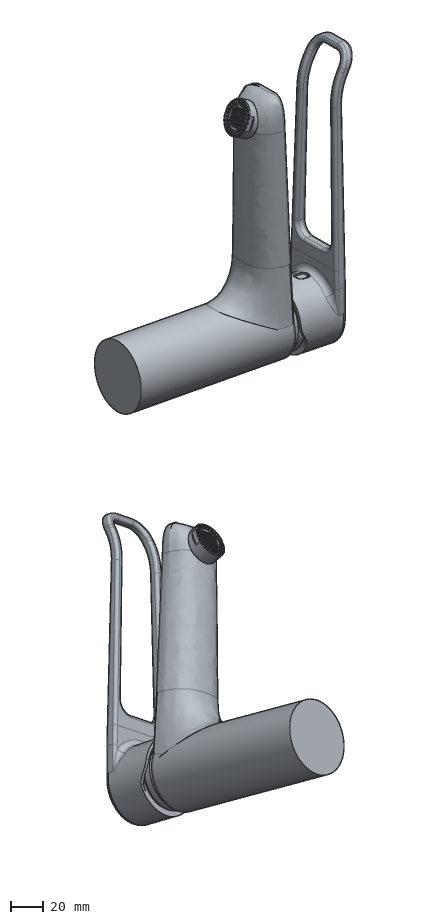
import cadquery as cq
import math


TUBE_RADIUS = 24.2
TUBE_RISE = 2.0
BACK_LEAN = 1.6
BACK_FOOT_Y = 120.7
BACK_ROUND = 2.0

SPOUT_FRONT_Y = 95.5
SPOUT_TOP_Z = 188.5
SPOUT_FULLNESS = 2.5
BOW_STEP = 15
DOME_FOOT_Z = 166.8
DOME_FOOT_HALF_WIDTH = 18.8
DOME_TOP_HALF_WIDTH = 7.3
DOME_CORNER_POWER = 3.0
DOME_CROWN_DEPTH = 0.6
DOME_STEPS = 5
FLARE_RADIUS = 25.0
FLARE_STEPS = 4
FLARE_INSET = 0.2
FLARE_HALF_WIDTH = 21.3

NECK_RADIUS = 21.7
NECK_AXIS_Z = 28.8
NECK_JOINT_Y = 123.0
NECK_END_Y = 129.5
NECK_CHAMFER_LENGTH = 1.0
NECK_CHAMFER_DEPTH = 1.9

CAP_BACK_Y = 158.5
CAP_START_Y = 156.0
CAP_BACK_RADIUS = 24.4
CAP_FRONT_DIAMETER = 49.8
CAP_BORE_RADIUS = 22.7
CAP_RELIEF_TOP_Z = 33.4
CAP_RELIEF_BOTTOM_Z = 15.5
CAP_BLEND = 4.2

BLADE_BASE_RADIUS = 24.2
BLADE_SHOULDER_Z = 50.0
BAR_TAPER_FOOT_Z = 62.5
HANDLE_TOP_Z = 208.5
HANDLE_CLEAR_Y = 179.3
HANDLE_TOP_HALF_WIDTH = 19.0
HANDLE_TOP_CORNER = 13.0
BAR_WIDTH = 5.5
BAR_ROUND = 2.0
WINDOW_BOTTOM_Z = 72.5
WINDOW_BOTTOM_CORNER = 8.3

BEND_FOOT_Z = 171.8
BEND_RADIUS = 41.7
BEND_ANGLE = 28.5
BAR_DEPTH_TOP = 6.5
BAR_DEPTH_FOOT = 8.1

BUTTON_Y = 141.8
BUTTON_WIDTH = 5.8
BUTTON_LENGTH = 7.0
BUTTON_CORNER = 2.0
BUTTON_GAP = 1.3
BUTTON_POCKET_FLOOR_Z = 50.5
BUTTON_TOP_Z = 52.5

AERATOR_TILT = 23.0
AERATOR_FACE_Y = 91.3
AERATOR_FACE_Z = 175.3
AERATOR_RADIUS = 12.0
AERATOR_LENGTH = 12.5
AERATOR_BORE_RADIUS = 10.8
AERATOR_BORE_DEPTH = 4.2
AERATOR_FLAT_X = 11.0
AERATOR_FLAT_LENGTH = 4.0
AERATOR_EDGE_CHAMFER = 0.6

INSERT_TOOTH_COUNT = 24
INSERT_TOOTH_GAP = 1.0
INSERT_RIM_RADIUS = 9.0
INSERT_NOTCH_DEPTH = 1.3
MESH_RADIUS = 8.1
MESH_PITCH = 1.9
MESH_OPENING = 1.0
MESH_RECESS = 0.6

OVERSHOOT = 4.2
TOLERANCE = 0.01
PLATE_FACE_MIN_Y = 0.6


def back_y(z):
    """Y of the leaning back face of the spout at height z."""
    return BACK_FOOT_Y - z * math.tan(math.radians(BACK_LEAN))


def tube_axis_z(y):
    return TUBE_RADIUS + y * math.tan(math.radians(TUBE_RISE))


def arch_wire(back, front, half_width, fullness):
    """D-shaped section across X between two (y, z) points: rounded back corners, bowed front.

    A fullness of 2 bows the front as a half ellipse; more makes it squarer.
    """
    depth = math.hypot(front[0] - back[0], front[1] - back[1])
    forward = ((front[0] - back[0]) / depth, (front[1] - back[1]) / depth)
    plane = cq.Plane(origin=(0, *back), xDir=(1, 0, 0), normal=(0, -forward[1], forward[0]))

    def corner_round(side):
        near_back = BACK_ROUND * (1 - math.sqrt(0.5))
        points = [
            (side * (half_width - BACK_ROUND), 0),
            (side * (half_width - near_back), near_back),
            (side * half_width, BACK_ROUND),
        ]
        return cq.Edge.makeThreePointArc(*[plane.toWorldCoords(point) for point in points])

    left_round = corner_round(-1)
    right_round = corner_round(1)
    bow_depth = depth - BACK_ROUND
    bow_points = []
    for degrees in range(0, 181, BOW_STEP):
        across = math.cos(math.radians(degrees))
        along = max(math.sin(math.radians(degrees)), 0)
        bow_points.append(plane.toWorldCoords((
            half_width * math.copysign(abs(across) ** (2 / fullness), across),
            BACK_ROUND + bow_depth * along ** (2 / fullness),
        )))
    return cq.Wire.assembleEdges([
        left_round,
        cq.Edge.makeLine(left_round.startPoint(), right_round.startPoint()),
        right_round,
        cq.Edge.makeSpline(bow_points, tangents=[plane.yDir, -plane.yDir]),
    ])


def level_section(z, front, half_width):
    return arch_wire((back_y(z), z), (front, z), half_width, SPOUT_FULLNESS)


def dome():
    wires = []
    for step in range(DOME_STEPS + 1):
        angle = math.radians(90 * step / DOME_STEPS)
        rise = math.sin(angle)
        z = DOME_FOOT_Z + (SPOUT_TOP_Z - DOME_FOOT_Z) * rise
        shrink = (1 - rise ** DOME_CORNER_POWER) ** (1 / DOME_CORNER_POWER)
        half_width = DOME_TOP_HALF_WIDTH + (DOME_FOOT_HALF_WIDTH - DOME_TOP_HALF_WIDTH) * shrink
        crown_y = back_y(z) - BACK_ROUND - DOME_CROWN_DEPTH
        front = crown_y + (SPOUT_FRONT_Y - crown_y) * math.cos(angle)
        wires.append(level_section(z, front, half_width))
    return cq.Solid.makeLoft(wires)


def flare_start_z():
    return tube_axis_z(SPOUT_FRONT_Y - FLARE_RADIUS) + TUBE_RADIUS + FLARE_RADIUS


def column():
    return cq.Solid.makeLoft([
        level_section(DOME_FOOT_Z, SPOUT_FRONT_Y, DOME_FOOT_HALF_WIDTH),
        level_section(flare_start_z(), SPOUT_FRONT_Y, FLARE_HALF_WIDTH),
    ], True)


def flare():
    """Turns the upright column section into the top half of the tube along a quarter round."""
    centre_y = SPOUT_FRONT_Y - FLARE_RADIUS
    centre_z = flare_start_z()
    end_back_z = tube_axis_z(BACK_FOOT_Y)
    wires = []
    for turn in range(FLARE_STEPS + 1):
        share = turn / FLARE_STEPS
        angle = math.radians((90 - TUBE_RISE) * share)
        front = (centre_y + FLARE_RADIUS * math.cos(angle), centre_z - FLARE_RADIUS * math.sin(angle))
        back_z = centre_z + (end_back_z - centre_z) * math.sin(math.radians(90 * share))
        half_width = FLARE_HALF_WIDTH + (TUBE_RADIUS - FLARE_INSET - FLARE_HALF_WIDTH) * share
        fullness = SPOUT_FULLNESS + (2 - SPOUT_FULLNESS) * share
        wires.append(arch_wire((back_y(back_z), back_z), front, half_width, fullness))
    return cq.Solid.makeLoft(wires)


def tube():
    axis = cq.Vector(0, math.cos(math.radians(TUBE_RISE)), math.sin(math.radians(TUBE_RISE)))
    start = cq.Vector(0, 0, TUBE_RADIUS) - axis * OVERSHOOT
    rod = cq.Solid.makeCylinder(TUBE_RADIUS, BACK_FOOT_Y + 3 * OVERSHOOT, start, axis)
    low, high = -OVERSHOOT, 3 * TUBE_RADIUS
    trim = (
        cq.Workplane("YZ")
        .polyline([(0, low), (back_y(low), low), (back_y(high), high), (0, high)])
        .close()
        .extrude(2 * TUBE_RADIUS, both=True)
    )
    return trim.intersect(cq.Workplane(rod)).faces(">Y").edges().fillet(BACK_ROUND)


def aerator_plane():
    """Outlet face: local Z points out of the spout, local X along X."""
    tilt = math.radians(AERATOR_TILT)
    return cq.Plane(
        origin=(0, AERATOR_FACE_Y, AERATOR_FACE_Z), xDir=(1, 0, 0), normal=(0, -math.cos(tilt), math.sin(tilt))
    )


def aerator_envelope():
    return cq.Workplane(aerator_plane()).circle(AERATOR_RADIUS).extrude(-AERATOR_LENGTH)


def spout_body():
    body = tube()
    for part in (flare(), column(), dome()):
        body = body.union(cq.Workplane(part))
    return body.cut(aerator_envelope())


def aerator_housing():
    plane = aerator_plane()
    outlet_face = aerator_envelope().faces(cq.selectors.DirectionMinMaxSelector(plane.zDir))
    housing = outlet_face.edges().chamfer(AERATOR_EDGE_CHAMFER)
    bore = cq.Workplane(plane).circle(AERATOR_BORE_RADIUS).extrude(-AERATOR_BORE_DEPTH)
    flats = (
        cq.Workplane(plane)
        .pushPoints([(side * (AERATOR_FLAT_X + AERATOR_RADIUS / 2), 0) for side in (-1, 1)])
        .rect(AERATOR_RADIUS, 2 * AERATOR_RADIUS)
        .extrude(-AERATOR_FLAT_LENGTH)
    )
    return housing.cut(bore).cut(flats)


def aerator_insert():
    """Disc filling the housing bore, with a toothed rim around a recessed mesh of square openings."""
    plane = aerator_plane()
    insert = cq.Workplane(plane).circle(AERATOR_BORE_RADIUS).extrude(-AERATOR_BORE_DEPTH)
    notches = (
        cq.Workplane(plane)
        .polarArray(AERATOR_BORE_RADIUS, 0, 360, INSERT_TOOTH_COUNT)
        .rect(2 * (AERATOR_BORE_RADIUS - INSERT_RIM_RADIUS), INSERT_TOOTH_GAP)
        .extrude(-INSERT_NOTCH_DEPTH)
    )
    recess = cq.Workplane(plane).circle(MESH_RADIUS).extrude(-MESH_RECESS)
    reach = math.floor(MESH_RADIUS / MESH_PITCH)
    centres = []
    for column_index in range(-reach, reach + 1):
        for row_index in range(-reach, reach + 1):
            centre = (column_index * MESH_PITCH, row_index * MESH_PITCH)
            if math.hypot(*centre) + MESH_OPENING < MESH_RADIUS:
                centres.append(centre)
    openings = cq.Workplane(plane).pushPoints(centres).rect(MESH_OPENING, MESH_OPENING)
    openings = openings.extrude(-(MESH_RECESS + MESH_OPENING))
    return insert.cut(notches).cut(recess).cut(openings)


def neck_cylinder(radius, start_y, end_y):
    start = cq.Vector(0, start_y, NECK_AXIS_Z)
    return cq.Workplane(cq.Solid.makeCylinder(radius, end_y - start_y, start, cq.Vector(0, 1, 0)))


def spacer_ring(body):
    """Ring whose front bears on the leaning back face of the spout."""
    ring = neck_cylinder(NECK_RADIUS, BACK_FOOT_Y - OVERSHOOT, NECK_JOINT_Y)
    return ring.cut(body)


def cartridge_ring():
    ring = neck_cylinder(NECK_RADIUS, NECK_JOINT_Y, NECK_END_Y)
    return ring.faces(">Y").edges().chamfer(NECK_CHAMFER_DEPTH, NECK_CHAMFER_LENGTH)


def handle_half_width(z):
    """Half width of the blade at a height above its shoulder."""
    share = (z - BLADE_SHOULDER_Z) / (HANDLE_TOP_Z - BLADE_SHOULDER_Z)
    return BLADE_BASE_RADIUS + (HANDLE_TOP_HALF_WIDTH - BLADE_BASE_RADIUS) * share


def handle_outline():
    """Blade seen along Y: round at the cap, tapering to a rounded tip."""
    blade = (
        cq.Workplane("XZ", origin=(0, HANDLE_CLEAR_Y, 0))
        .moveTo(-BLADE_BASE_RADIUS, NECK_AXIS_Z)
        .threePointArc((0, NECK_AXIS_Z - BLADE_BASE_RADIUS), (BLADE_BASE_RADIUS, NECK_AXIS_Z))
        .lineTo(BLADE_BASE_RADIUS, BLADE_SHOULDER_Z)
        .lineTo(HANDLE_TOP_HALF_WIDTH, HANDLE_TOP_Z)
        .lineTo(-HANDLE_TOP_HALF_WIDTH, HANDLE_TOP_Z)
        .lineTo(-BLADE_BASE_RADIUS, BLADE_SHOULDER_Z)
        .close()
        .extrude(HANDLE_CLEAR_Y - NECK_JOINT_Y)
    )
    return blade.edges("|Y and >Z").fillet(HANDLE_TOP_CORNER)


def handle_window():
    top_z = HANDLE_TOP_Z - BAR_WIDTH
    top_half = handle_half_width(top_z) - BAR_WIDTH
    bottom_half = handle_half_width(WINDOW_BOTTOM_Z) - BAR_WIDTH
    window = (
        cq.Workplane("XZ", origin=(0, HANDLE_CLEAR_Y, 0))
        .polyline([(-bottom_half, WINDOW_BOTTOM_Z), (bottom_half, WINDOW_BOTTOM_Z),
                   (top_half, top_z), (-top_half, top_z)])
        .close()
        .extrude(HANDLE_CLEAR_Y - NECK_JOINT_Y)
    )
    window = window.edges("|Y and >Z").fillet(HANDLE_TOP_CORNER - BAR_WIDTH)
    return window.edges("|Y and <Z").fillet(WINDOW_BOTTOM_CORNER)


def bend_point(depth, degrees):
    """Point (y, z) of the bend, a given depth in from the back of the bar."""
    angle = math.radians(degrees)
    radius = BEND_RADIUS + depth
    return (CAP_BACK_Y + BEND_RADIUS - radius * math.cos(angle), BEND_FOOT_Z + radius * math.sin(angle))


def handle_side_profile():
    """Blade seen along X: a flat bar that bends backwards near its tip."""
    lean = math.radians(BEND_ANGLE)
    bend_end_back = bend_point(0, BEND_ANGLE)
    bend_end_front = bend_point(BAR_DEPTH_TOP, BEND_ANGLE)
    end_z = HANDLE_TOP_Z + OVERSHOOT
    end_back_y = bend_end_back[0] + (end_z - bend_end_back[1]) * math.tan(lean)
    end_front_y = bend_end_front[0] + (end_z - bend_end_front[1]) * math.tan(lean)
    front_foot_y = CAP_BACK_Y - BAR_DEPTH_FOOT
    return (
        cq.Workplane("YZ")
        .moveTo(CAP_BACK_Y, 0)
        .lineTo(CAP_BACK_Y, BEND_FOOT_Z)
        .threePointArc(bend_point(0, BEND_ANGLE / 2), bend_end_back)
        .lineTo(end_back_y, end_z)
        .lineTo(end_front_y, end_z)
        .lineTo(*bend_end_front)
        .threePointArc(bend_point(BAR_DEPTH_TOP, BEND_ANGLE / 2), bend_point(BAR_DEPTH_TOP, 0))
        .lineTo(front_foot_y, BAR_TAPER_FOOT_Z)
        .lineTo(front_foot_y, 0)
        .close()
        .extrude(2 * TUBE_RADIUS, both=True)
    )


def is_plate_face(face):
    """True for the broad back and front faces of the blade."""
    normal = face.normalAt(face.Center())
    return abs(normal.x) < TOLERANCE and abs(normal.y) > PLATE_FACE_MIN_Y


def handle_blade():
    blade = handle_outline().intersect(handle_side_profile()).cut(handle_window())
    plate_edges = [edge for face in blade.faces().vals() if is_plate_face(face) for edge in face.Edges()]
    rim_edges = [edge for edge in plate_edges if sum(edge.isSame(other) for other in plate_edges) == 1]
    return blade.newObject(rim_edges).fillet(BAR_ROUND)


def handle_cap():
    """Slightly conical cap from just inside the back of the blade to the neck."""
    start = cq.Vector(0, CAP_START_Y, NECK_AXIS_Z)
    length = CAP_START_Y - NECK_JOINT_Y
    cap = cq.Solid.makeCone(CAP_BACK_RADIUS, CAP_FRONT_DIAMETER / 2, length, start, cq.Vector(0, -1, 0))
    return cq.Workplane(cap)


def cap_relief():
    """Lower part of the cap front, cut back in a smooth step so that the handle can tip down."""
    front_y = NECK_JOINT_Y - OVERSHOOT
    return (
        cq.Workplane("YZ")
        .moveTo(front_y, -OVERSHOOT)
        .lineTo(NECK_END_Y, -OVERSHOOT)
        .lineTo(NECK_END_Y, CAP_RELIEF_BOTTOM_Z)
        .spline([(NECK_JOINT_Y, CAP_RELIEF_TOP_Z)], tangents=[(0, 1), (0, 1)], includeCurrent=True)
        .lineTo(front_y, CAP_RELIEF_TOP_Z)
        .close()
        .extrude(2 * TUBE_RADIUS, both=True)
    )


def button_prism(margin, bottom_z, top_z):
    """Upright rounded rectangle at the button's place, grown by a margin all round."""
    return (
        cq.Workplane("XY", origin=(0, BUTTON_Y, bottom_z))
        .rect(BUTTON_WIDTH + 2 * margin, BUTTON_LENGTH + 2 * margin)
        .extrude(top_z - bottom_z)
        .edges("|Z")
        .fillet(BUTTON_CORNER + margin)
    )


def button():
    return button_prism(0, BUTTON_POCKET_FLOOR_Z, BUTTON_TOP_Z)


def blended_lever():
    """Blade and cap joined, with a fillet where the cap meets the front of the blade."""
    lever = handle_cap().union(handle_blade())
    front_y = CAP_BACK_Y - BAR_DEPTH_FOOT
    corner_edges = [
        edge for edge in lever.edges("%CIRCLE").vals()
        if edge.Center().z > NECK_AXIS_Z
        and max(abs(edge.startPoint().y - front_y), abs(edge.endPoint().y - front_y)) < TOLERANCE
    ]
    return lever.newObject(corner_edges).fillet(CAP_BLEND)


def handle():
    lever = blended_lever()
    bore = neck_cylinder(CAP_BORE_RADIUS, NECK_JOINT_Y - OVERSHOOT, NECK_END_Y)
    pocket = button_prism(BUTTON_GAP, BUTTON_POCKET_FLOOR_Z, BUTTON_POCKET_FLOOR_Z + 2 * OVERSHOOT)
    return lever.cut(bore).cut(cap_relief()).cut(pocket)


body = spout_body()
result = cq.Compound.makeCompound([
    body.val(),
    spacer_ring(body).val(),
    cartridge_ring().val(),
    handle().val(),
    button().val(),
    aerator_housing().val(),
    aerator_insert().val(),
])